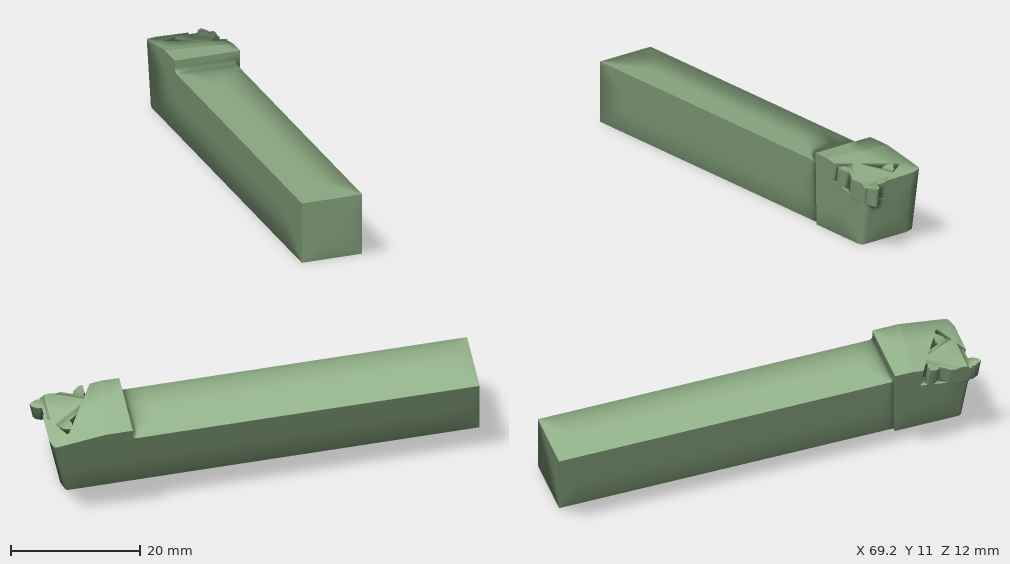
import cadquery as cq
import math

total_length = 69.2
shank_size = 10.05

head_end = 14.4
head_height = 12.0
head_width_top = 10.9
head_width_bottom = 10.65
front_foot = 3.25
step_radius = 0.7
corner_cut_x = 0.55
corner_cut_y = 1.8
bevel_radius = 0.55
insert_corner_radius = 0.8

crease_x_outer = 10.1
crease_x_inner = 11.55
slope_angle = math.radians(9.5)
crease_skew = math.atan2(crease_x_inner - crease_x_outer, head_width_top)

insert_overhang = 0.15
seat_apothem = 3.05
edge_apothem = 2.9
tip_reach = 4.65
insert_thickness = 3.1
plateau_apothem = 2.1
wall_foot_apothem = 2.5
groove_apothem = 2.9
groove_depth = 0.35
tooth_offset = 1.8
tooth_tip_width = 0.5
tooth_root_width = 1.8
tooth_shoulder = 1.1
pocket_nose_reach = 5.8
tooth_count = 3
tooth_spacing = 360 / tooth_count
cut_margin = 6.9

insert_x = tip_reach * math.cos(slope_angle)
insert_y = head_width_top + insert_overhang - seat_apothem
crease_x_at_insert = crease_x_outer + insert_y * math.tan(crease_skew)
crease_distance = (crease_x_at_insert - insert_x) * math.cos(crease_skew)
insert_z = head_height - crease_distance * math.tan(slope_angle)

slope_normal = cq.Vector(
    -math.sin(slope_angle) * math.cos(crease_skew),
    math.sin(slope_angle) * math.sin(crease_skew),
    math.cos(slope_angle),
)
slope_plane = cq.Plane(
    origin=(insert_x, insert_y, insert_z),
    xDir=(slope_normal.z, 0, -slope_normal.x),
    normal=slope_normal,
)


def triangle(apothem):
    """Equilateral triangle with one side facing +y and a corner facing -y."""
    half_side = apothem * math.sqrt(3)
    return [(-half_side, apothem), (half_side, apothem), (0, -2 * apothem)]


def spin(body, index):
    return body.rotate((0, 0, 0), (0, 0, 1), index * tooth_spacing)


def on_slope(body):
    return cq.Workplane(obj=body.val().moved(slope_plane.location))


def make_pocket():
    pocket = cq.Workplane("XY").polyline(triangle(seat_apothem)).close().extrude(-insert_thickness)
    beyond_nose = (
        cq.Workplane("XY")
        .rect(4 * seat_apothem, 2 * cut_margin)
        .extrude(-insert_thickness)
        .translate((0, -pocket_nose_reach - cut_margin, 0))
    )
    return on_slope(pocket.cut(beyond_nose))


def make_head():
    section = [(0, 0), (head_width_bottom, 0), (head_width_top, head_height), (0, head_height)]
    head = cq.Workplane("YZ").polyline(section).close().extrude(head_end)

    front_lean = math.tan(slope_angle)
    waste = [
        (-cut_margin, 0),
        (front_foot, 0),
        (front_foot - head_height * front_lean, head_height),
        (-cut_margin, head_height),
    ]
    head = head.cut(cq.Workplane("XZ").polyline(waste).close().extrude(-2 * head_width_top))

    head = head.faces("<X").edges("not |Y").edges("<Y").chamfer(corner_cut_y, corner_cut_x)
    head = head.faces("<Y").edges("<X").fillet(bevel_radius)
    return head.faces("<X").edges("not |Y").edges(">Y").fillet(insert_corner_radius)


def make_holder():
    shank = cq.Workplane("XY").box(
        total_length - head_end, shank_size, shank_size, centered=False
    ).translate((head_end, 0, 0))
    holder = make_head().union(shank)
    step_root = cq.selectors.NearestToPointSelector((head_end, shank_size / 2, shank_size))
    holder = holder.edges(step_root).fillet(step_radius)

    above_slope = on_slope(cq.Workplane("XY").rect(4 * cut_margin, 4 * cut_margin).extrude(cut_margin))
    return holder.cut(above_slope).cut(make_pocket())


def make_tooth():
    """Tooth pointing to -x, overlapping the insert body as far as the plateau."""
    half_tip = tooth_tip_width / 2
    half_root = tooth_root_width / 2
    shoulder_x = tip_reach - tooth_shoulder
    outline = [
        (-plateau_apothem, -half_root),
        (-shoulder_x, -half_root),
        (-tip_reach, -half_tip),
        (-tip_reach, half_tip),
        (-shoulder_x, half_root),
        (-plateau_apothem, half_root),
    ]
    tooth = cq.Workplane("XY").polyline(outline).close().extrude(-insert_thickness)
    return tooth.translate((0, tooth_offset, 0))


def make_chip_groove():
    """Groove with a wall at the plateau, a flat floor and a rake rising to the tooth tip."""
    section = [
        (-plateau_apothem, 0),
        (-wall_foot_apothem, -groove_depth),
        (-groove_apothem, -groove_depth),
        (-tip_reach, 0),
    ]
    groove = cq.Workplane("XZ").polyline(section).close()
    return groove.extrude(2 * seat_apothem, both=True)


def make_insert():
    insert = cq.Workplane("XY").polyline(triangle(edge_apothem)).close().extrude(-insert_thickness)
    insert = insert.rotate((0, 0, 0), (0, 0, 1), 90)
    for index in range(tooth_count):
        insert = insert.union(spin(make_tooth(), index))
    seat_outline = cq.Workplane("XY").polyline(triangle(seat_apothem)).close().extrude(-insert_thickness)
    insert = insert.intersect(seat_outline)
    for index in range(tooth_count):
        insert = insert.cut(spin(make_chip_groove(), index))
    return on_slope(insert)


holder = make_holder()
insert = make_insert()
result = cq.Compound.makeCompound([holder.val(), insert.val()])